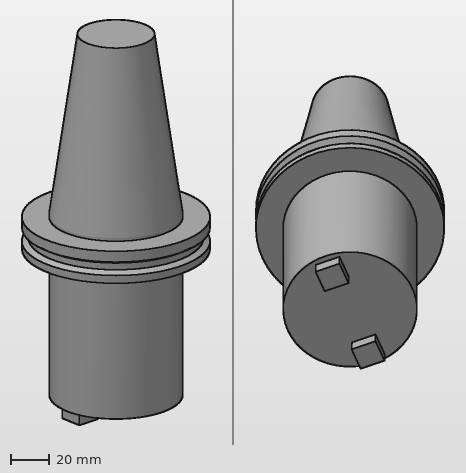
import cadquery as cq

total_height = 209.5
key_height = 7.0
flange_bottom = 88.9
flange_top = 107.0
taper_bottom = 108.5

body_radius = 70.0 / 2
flange_radius = 98.5 / 2
taper_tip_radius = 40.5 / 2

groove_depth = 3.4
groove_flank_height = 1.9
groove_floor_bottom = 95.2
groove_floor_top = 99.0
groove_radius = flange_radius - groove_depth

key_width = 13.5
key_length = 12.8
key_outer_reach = 31.9


def turned_body():
    """Shank, grooved flange and taper as one revolved half-profile (radius, height)."""
    profile = [
        (0, key_height),
        (body_radius, key_height),
        (body_radius, flange_bottom),
        (flange_radius, flange_bottom),
        (flange_radius, groove_floor_bottom - groove_flank_height),
        (groove_radius, groove_floor_bottom),
        (groove_radius, groove_floor_top),
        (flange_radius, groove_floor_top + groove_flank_height),
        (flange_radius, flange_top),
        (body_radius, flange_top),
        (body_radius, taper_bottom),
        (taper_tip_radius, total_height),
        (0, total_height),
    ]
    return cq.Workplane("XZ").polyline(profile).close().revolve(360, (0, 0), (0, 1))


def drive_keys():
    """Two rectangular keys on opposite sides of the axis along Y."""
    key_centre = key_outer_reach - key_length / 2
    return (
        cq.Workplane("XY")
        .pushPoints([(0, -key_centre), (0, key_centre)])
        .rect(key_width, key_length)
        .extrude(key_height)
    )


result = turned_body().union(drive_keys())